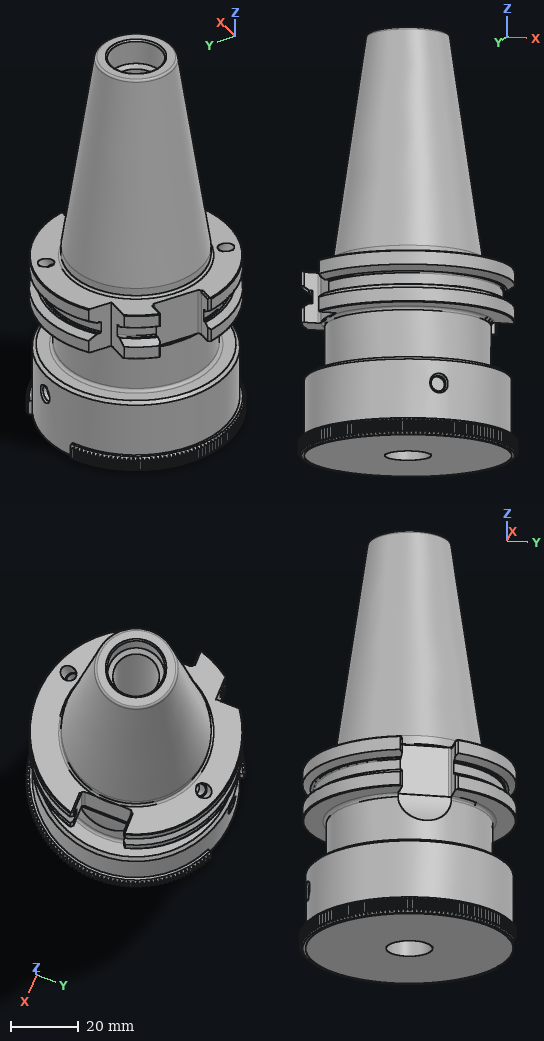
import cadquery as cq
import math

total_height = 127.2
ring_height = 5.0
head_top = 23.8
flange_bottom = 40.1
flange_top = 55.7
taper_base = 59.2

head_radius = 30.8
head_chamfer_height = 0.9
head_chamfer_width = 1.1
neck_radius = 24.7
neck_fillet = 1.0
flange_radius = 31.7
flange_chamfer = 0.3
shoulder_radius = 22.3
shoulder_fillet = 0.8
taper_tip_radius = 12.3
taper_tip_fillet = 0.8

groove_floor_radius = 28.2
groove_straight_radius = 29.4
groove_floor_width = 4.0
groove_floor_fillet = 0.4
groove_mouth_width = 7.0
groove_height = (flange_bottom + flange_top) / 2

bore_radius = 6.9
counterbore_radius = 8.5
counterbore_depth = 8.4
counterbore_cone_height = 0.9
counterbore_chamfer = 0.5

slot_width = 16.0
slot_floor_left = 24.8
slot_floor_right = 22.8
slot_corner_fillet = 0.8
slot_top_chamfer = 0.5
slot_mouth_chamfer = 1.0
runout_start_x = 23.3
runout_bottom = 31.7

notch_corner_x = -18.2
notch_corner_y = 18.2

flange_hole_circle_radius = 27.0
flange_hole_angles = (70, 250)
flange_hole_tilt = 30
flange_hole_radius = 2.2
flange_hole_depth = 2.9
flange_hole_tip_radius = 1.8
flange_hole_tip_depth = 5.1

head_hole_height = 15.9
head_hole_radius = 2.3
head_hole_depth = 2.0
head_hole_rim_radius = 2.9
head_hole_chamfer = head_hole_rim_radius - head_hole_radius

ring_tip_diameter = 65.0
ring_tip_radius = ring_tip_diameter / 2
tooth_depth = 0.5
tooth_count = 150
tooth_tip_share = 0.35
tooth_root_share = 0.25
ring_top_chamfer = 0.9
ring_bottom_chamfer = 0.9
ring_gap_half_angle = 24

reach = 2 * flange_radius


def make_turned_blank():
    """Solid of revolution: head, neck, flange and taper."""
    blank = (
        cq.Workplane("XY").circle(head_radius).extrude(head_top)
        .faces(">Z").edges().chamfer(head_chamfer_height, head_chamfer_width)
    )
    neck = cq.Workplane("XY").circle(neck_radius).extrude(flange_bottom)
    flange = (
        cq.Workplane("XY").workplane(offset=flange_bottom)
        .circle(flange_radius).extrude(flange_top - flange_bottom)
        .edges().chamfer(flange_chamfer)
    )
    taper_profile = [
        (0, flange_top),
        (shoulder_radius, flange_top),
        (shoulder_radius, taper_base),
        (taper_tip_radius, total_height),
        (0, total_height),
    ]
    taper = (
        cq.Workplane("XZ").polyline(taper_profile).close().revolve(360, (0, 0, 0), (0, 1, 0))
        .faces(">Z").edges().fillet(taper_tip_fillet)
    )
    blank = blank.union(neck).union(flange).union(taper)
    blank = blank.edges(circle_at(neck_radius, head_top)).fillet(neck_fillet)
    blank = blank.edges(circle_at(neck_radius, flange_bottom)).fillet(neck_fillet)
    return blank.edges(circle_at(shoulder_radius, flange_top)).fillet(shoulder_fillet)


def circle_at(radius, height):
    """Selector for the circular edge of the given radius and height on the Z axis."""
    margin = 0.06
    return cq.selectors.BoxSelector(
        (-radius - margin, -radius - margin, height - margin),
        (radius + margin, radius + margin, height + margin),
        boundingbox=True,
    )


def make_groove():
    """V-shaped groove with a straight-sided bottom, all round the flange."""
    half_floor = groove_floor_width / 2
    half_mouth = groove_mouth_width / 2
    profile = [
        (groove_floor_radius, groove_height - half_floor),
        (groove_straight_radius, groove_height - half_floor),
        (flange_radius, groove_height - half_mouth),
        (reach, groove_height - half_mouth),
        (reach, groove_height + half_mouth),
        (flange_radius, groove_height + half_mouth),
        (groove_straight_radius, groove_height + half_floor),
        (groove_floor_radius, groove_height + half_floor),
    ]
    return (
        cq.Workplane("XZ").polyline(profile).close().revolve(360, (0, 0, 0), (0, 1, 0))
        .edges(cq.selectors.RadiusNthSelector(0)).fillet(groove_floor_fillet)
    )


def make_bore():
    """Through bore with a chamfered counterbore that ends in a cone."""
    cone_top = total_height - counterbore_depth
    profile = [
        (0, 0),
        (bore_radius, 0),
        (bore_radius, cone_top - counterbore_cone_height),
        (counterbore_radius, cone_top),
        (counterbore_radius, total_height - counterbore_chamfer),
        (counterbore_radius + counterbore_chamfer, total_height),
        (0, total_height),
    ]
    return cq.Workplane("XZ").polyline(profile).close().revolve(360, (0, 0, 0), (0, 1, 0))


def make_slot(floor, side):
    """Drive slot through the flange; side is +1 for the +X slot and -1 for the -X slot."""
    height = flange_top - flange_bottom
    half_width = slot_width / 2
    channel = (
        cq.Workplane("XY").workplane(offset=flange_bottom)
        .center(side * (floor + reach / 2), 0).rect(reach, slot_width).extrude(height)
        .edges("|Z and " + ("<X" if side > 0 else ">X")).fillet(slot_corner_fillet)
    )

    wall_end = math.sqrt(flange_radius**2 - half_width**2) - slot_mouth_chamfer
    flare = flange_radius - wall_end
    mouth_profile = [
        (side * wall_end, -half_width),
        (side * flange_radius, -half_width - flare),
        (side * flange_radius, half_width + flare),
        (side * wall_end, half_width),
    ]
    mouth = (
        cq.Workplane("XY").workplane(offset=flange_bottom)
        .polyline(mouth_profile).close().extrude(height)
    )

    top_profile = [
        (-half_width, flange_top - slot_top_chamfer),
        (half_width, flange_top - slot_top_chamfer),
        (half_width + slot_top_chamfer, flange_top),
        (-half_width - slot_top_chamfer, flange_top),
    ]
    top_bevel = (
        cq.Workplane("YZ").workplane(offset=side * (floor + slot_corner_fillet))
        .polyline(top_profile).close().extrude(side * reach)
    )
    return channel.union(mouth).union(top_bevel)


def make_slot_runout():
    """Curved cutter runout below the deeper +X slot, ending on the neck surface."""
    drop = flange_bottom - runout_bottom
    cut_depth = neck_radius - runout_start_x
    cutter_radius = (drop**2 + cut_depth**2) / (2 * cut_depth)
    cutter_x = runout_start_x + cutter_radius
    return (
        cq.Workplane("XZ", origin=(0, slot_width / 2, 0))
        .center(cutter_x, flange_bottom).circle(cutter_radius).extrude(slot_width)
        .intersect(
            cq.Workplane("XY").workplane(offset=runout_bottom).rect(reach, reach).extrude(drop)
        )
    )


def make_notch():
    """Square-cornered notch through the flange on the -X, +Y side."""
    return (
        cq.Workplane("XY").workplane(offset=flange_bottom)
        .center(notch_corner_x, notch_corner_y)
        .rect(-reach, reach, centered=False).extrude(flange_top - flange_bottom)
    )


def make_flange_hole(angle):
    """Stepped blind hole that leans towards the axis as it goes down."""
    tilt = math.radians(flange_hole_tilt)
    turn = math.radians(angle)
    mouth = cq.Vector(
        flange_hole_circle_radius * math.cos(turn),
        flange_hole_circle_radius * math.sin(turn),
        flange_top,
    )
    down = cq.Vector(
        -math.sin(tilt) * math.cos(turn),
        -math.sin(tilt) * math.sin(turn),
        -math.cos(tilt),
    )
    lead = flange_hole_radius
    wide = cq.Solid.makeCylinder(
        flange_hole_radius, lead + flange_hole_depth, mouth - down * lead, down
    )
    narrow = cq.Solid.makeCylinder(
        flange_hole_tip_radius, flange_hole_depth + flange_hole_tip_depth, mouth, down
    )
    return cq.Workplane(wide).union(cq.Workplane(narrow))


def make_head_hole(side):
    """Blind radial hole with a countersunk rim, on the +Y or -Y side of the head."""
    floor = head_radius - head_hole_depth
    rim = head_radius - head_hole_chamfer
    profile = [
        (0, floor),
        (head_hole_radius, floor),
        (head_hole_radius, rim),
        (head_hole_rim_radius, head_radius),
        (0, head_radius),
    ]
    hole = cq.Workplane("XY").polyline(profile).close().revolve(360, (0, 0, 0), (0, 1, 0))
    if side < 0:
        hole = hole.mirror("XZ")
    return hole.translate((0, 0, head_hole_height))


def make_holder():
    """Turned holder with all its grooves, slots and holes cut."""
    holder = make_turned_blank().cut(make_groove()).cut(make_bore())
    holder = holder.cut(make_slot(slot_floor_left, -1)).cut(make_slot(slot_floor_right, 1))
    holder = holder.cut(make_slot_runout()).cut(make_notch())
    for angle in flange_hole_angles:
        holder = holder.cut(make_flange_hole(angle))
    for side in (-1, 1):
        holder = holder.cut(make_head_hole(side))
    return holder


def make_knurled_ring():
    """Open ring round the foot of the head, with straight knurling and a gap at +Y."""
    pitch = 2 * math.pi / tooth_count
    root_radius = ring_tip_radius - tooth_depth
    tip_half = pitch * tooth_tip_share / 2
    root_half = pitch * tooth_root_share / 2
    outline = []
    for tooth in range(tooth_count):
        middle = tooth * pitch
        for radius, angle in (
            (ring_tip_radius, middle - tip_half),
            (ring_tip_radius, middle + tip_half),
            (root_radius, middle + pitch / 2 - root_half),
            (root_radius, middle + pitch / 2 + root_half),
        ):
            outline.append((radius * math.cos(angle), radius * math.sin(angle)))
    toothed = cq.Workplane("XY").polyline(outline).close().extrude(ring_height)

    envelope = (
        cq.Workplane("XY").circle(ring_tip_radius).extrude(ring_height)
        .faces(">Z").edges().chamfer(ring_top_chamfer)
        .faces("<Z").edges().chamfer(ring_bottom_chamfer)
    )
    seat = cq.Workplane("XY").circle(head_radius).extrude(ring_height)
    gap_half_width = reach * math.tan(math.radians(ring_gap_half_angle))
    gap = (
        cq.Workplane("XY")
        .polyline([(0, 0), (gap_half_width, reach), (-gap_half_width, reach)])
        .close().extrude(ring_height)
    )
    return toothed.intersect(envelope).cut(seat).cut(gap)


holder = make_holder()
knurled_ring = make_knurled_ring()

result = cq.Compound.makeCompound([holder.val(), knurled_ring.val()])